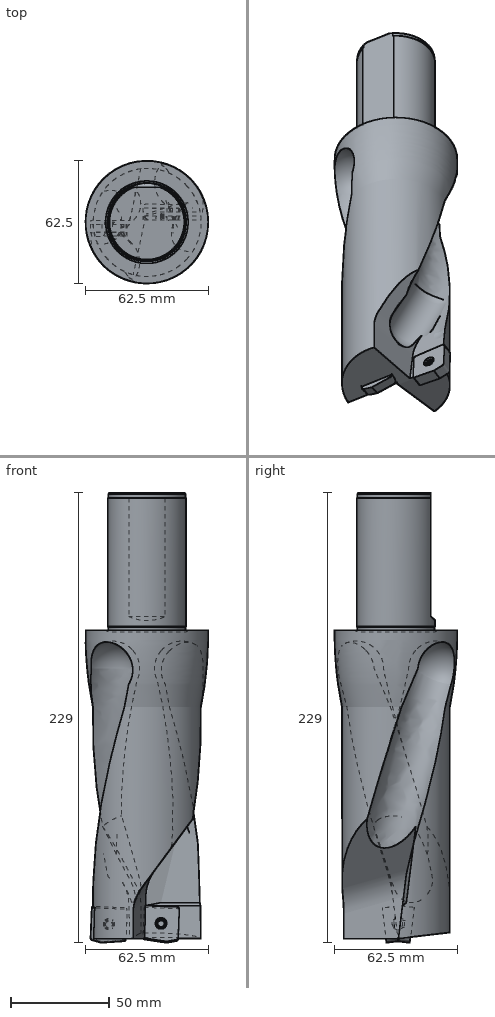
import cadquery as cq
import math

total_height = 228.98
shank_length = 70.0
flange_top = total_height - shank_length
flange_thickness = 5.0
flange_bottom = flange_top - flange_thickness
flare_bottom = 119.8
body_bottom = 2.0

shank_radius = 39.99 / 2
relief_radius = 39.5 / 2
shank_end_radius = 19.0
shank_chamfer_height = 1.0
top_band_height = 2.6
band_step = 0.4
neck_height = 1.6
face_groove_radius = 21.0
face_groove_depth = 0.8
flat_offset = 17.8
flat_bottom = flange_top + 5.0
flat_runout = 2.0

flange_radius = 62.5 / 2
body_radius = 27.5
flare_bulge = 0.8

flute_radius = 14.0
flute_center_radius = 27.0
flute_twist = 0.67
flute_start = 30.0
flute_end = 139.6
flute_start_angle = 155.5

seat_rake = 7.0
inner_seat_y = 1.0
outer_seat_y = -1.2
seat_top = 19.0
step_depth = 1.8
step_height = 1.8
facet_line_x = 7.2
facet_line_lean = 13.3
facet_tilt = 13.0
inner_wall_root = -1.4
outer_wall_root = 9.0
wall_turn = 12.0
inner_wall_knee = 29.6
outer_wall_knee = 24.7
inner_wall_slope = 0.74
outer_wall_slope = 0.48
wall_fillet = 20.0
reach = 60.0

pocket_radius = 11.0
pocket_low_point = (14.2, -9.5, 29.0)
pocket_high_point = (23.0, 0.0, 60.0)

clearance_angle = 6.7

insert_width = 18.0
insert_top = 8.7
insert_bottom = -7.8
insert_point_offset = 3.3
insert_point_drop = 1.34
insert_corner = 1.2
insert_thickness = 6.0
insert_tilt = 2.3
inner_insert_z = 10.0
outer_insert_z = 9.75
inner_insert_x = 7.2
outer_insert_x = 19.4
screw_hole_diameter = 3.5
screw_recess_diameter = 4.7
screw_mouth_diameter = 5.7
screw_mouth_depth = 1.0
screw_hole_depth = 2.0

origin = (0, 0, 0)
z_axis = (0, 0, 1)


def turned(shape, angle):
    """Turn a shape about the tool axis."""
    return shape.rotate(origin, z_axis, angle)


def tool_blank():
    """Shank, flange, flare and cylindrical body as one turned profile."""
    flare_middle = (
        (flange_radius + body_radius) / 2 + flare_bulge,
        (flange_bottom + flare_bottom) / 2,
    )
    band_bottom = total_height - top_band_height
    neck_top = flange_top + neck_height
    groove_floor = flange_top - face_groove_depth
    return (
        cq.Workplane("XZ")
        .moveTo(0, body_bottom)
        .lineTo(body_radius, body_bottom)
        .lineTo(body_radius, flare_bottom)
        .threePointArc(flare_middle, (flange_radius, flange_bottom))
        .lineTo(flange_radius, flange_top)
        .lineTo(face_groove_radius, flange_top)
        .lineTo(relief_radius, groove_floor)
        .lineTo(relief_radius, neck_top)
        .lineTo(shank_radius, neck_top + band_step)
        .lineTo(shank_radius, band_bottom - band_step)
        .lineTo(relief_radius, band_bottom)
        .lineTo(relief_radius, total_height - shank_chamfer_height)
        .lineTo(shank_end_radius, total_height)
        .lineTo(0, total_height)
        .close()
        .revolve(360, (0, 0, 0), (0, 1, 0))
    )


def shank_flat():
    """Clamping flat on the +Y side, running out in a slope above the flange."""
    flat_depth = shank_radius - flat_offset
    return (
        cq.Workplane("YZ")
        .moveTo(flat_offset, total_height)
        .lineTo(flat_offset, flat_bottom + flat_runout)
        .lineTo(flat_offset + flat_depth, flat_bottom)
        .lineTo(flat_offset + flat_depth, total_height)
        .close()
        .extrude(shank_radius, both=True)
    )


def helical_flute():
    """Twisted round channel with a ball at both ends, for the -X side."""
    length = flute_end - flute_start
    total_twist = length * flute_twist
    channel = (
        cq.Workplane("XY")
        .workplane(offset=flute_start)
        .moveTo(flute_center_radius, 0)
        .circle(flute_radius)
        .twistExtrude(length, total_twist)
    )
    ball = cq.Workplane("XY").sphere(flute_radius)
    low_ball = ball.translate((flute_center_radius, 0, flute_start))
    high_ball = turned(ball.translate((flute_center_radius, 0, flute_end)), total_twist)
    return [turned(piece, flute_start_angle) for piece in (channel, low_ball, high_ball)]


def lean_to_seat(shape, seat_y):
    """Lean a shape by the rake and set it on the seat plane that crosses the tip at seat_y."""
    return shape.rotate(origin, (1, 0, 0), -seat_rake).translate((0, seat_y, 0))


def chip_wall(wall_root, wall_knee, wall_slope, slant_turn):
    """Space beside an insert, bounded by an upright wall that bends into a slanted one."""
    slant_run = (2 * reach - wall_knee) * wall_slope
    slant_drop = reach * wall_slope
    upright = cq.Workplane("XY").box(2 * reach, 4 * reach, 4 * reach, centered=(False, True, True))
    slanted = (
        cq.Workplane("XZ")
        .moveTo(-slant_drop, wall_knee - reach)
        .lineTo(slant_run, 2 * reach)
        .lineTo(2 * reach, 2 * reach)
        .lineTo(2 * reach, wall_knee - reach)
        .close()
        .extrude(reach, both=True)
    )
    wall = turned(upright, -wall_turn).intersect(turned(slanted, -slant_turn))
    knee = cq.selectors.NearestToPointSelector((0, 0, wall_knee))
    return wall.edges(knee).fillet(wall_fillet).translate((wall_root, 0, 0))


def seat_space():
    """Space in front of an upright seat plane at y = 0."""
    block = cq.Workplane("XY").box(4 * reach, reach, 4 * reach, centered=(True, False, True))
    return block.translate((0, -reach, 0))


def inner_seat_step():
    """Deeper space above the inner insert, with a tilted facet on the side of the wall."""
    step_end = seat_top + step_height
    step = (
        cq.Workplane("YZ")
        .moveTo(-step_depth, seat_top)
        .lineTo(0, seat_top)
        .lineTo(step_depth, step_end)
        .lineTo(step_depth, 2 * reach)
        .lineTo(-step_depth, 2 * reach)
        .close()
        .extrude(2 * reach, both=True)
    )
    lean = math.radians(facet_line_lean)
    facet_frame = cq.Plane(
        origin=(facet_line_x, step_depth, step_end),
        xDir=(math.cos(lean), 0, -math.sin(lean)),
        normal=(math.sin(lean), 0, math.cos(lean)),
    )
    facet_rise = reach * math.tan(math.radians(facet_tilt))
    facet = (
        cq.Workplane(facet_frame)
        .lineTo(-reach, -facet_rise)
        .lineTo(-reach, step_depth)
        .lineTo(0, step_depth)
        .close()
        .extrude(2 * reach, both=True)
    )
    return step.cut(facet)


def inner_tip_cut():
    """Chip space in front of the inner insert."""
    wall = chip_wall(inner_wall_root, inner_wall_knee, inner_wall_slope, 0)
    seat = seat_space().union(inner_seat_step())
    return wall.intersect(lean_to_seat(seat, inner_seat_y))


def outer_tip_cut():
    """Chip space in front of the outer insert, before its half turn."""
    wall = chip_wall(outer_wall_root, outer_wall_knee, outer_wall_slope, wall_turn)
    return wall.intersect(lean_to_seat(seat_space(), outer_seat_y))


def outer_flute_pocket():
    """Round pocket with a ball at both ends, laid out like the tip cuts."""
    low = cq.Vector(*pocket_low_point)
    axis = cq.Vector(*pocket_high_point) - low
    rod = cq.Workplane(cq.Solid.makeCylinder(pocket_radius, axis.Length, low, axis))
    for end_point in (pocket_low_point, pocket_high_point):
        rod = rod.union(cq.Workplane("XY").sphere(pocket_radius).translate(end_point))
    return rod


def end_clearance():
    """Slope that lifts the end face toward +Y."""
    return (
        cq.Workplane("XY")
        .box(2 * reach, reach, reach, centered=(True, False, False))
        .translate((0, 0, -reach))
        .rotate(origin, (1, 0, 0), clearance_angle)
        .translate((0, 0, body_bottom))
    )


def insert_plate():
    """Square plate facing -Y, with a blunt point on its lower edge."""
    half_width = insert_width / 2
    return (
        cq.Workplane("XZ")
        .moveTo(-half_width, insert_top)
        .lineTo(half_width, insert_top)
        .lineTo(half_width, insert_bottom)
        .lineTo(insert_point_offset, insert_bottom - insert_point_drop)
        .lineTo(-half_width, insert_bottom)
        .close()
        .extrude(-insert_thickness)
        .edges("|Y and (>X or <X)")
        .fillet(insert_corner)
    )


def screw_recess():
    """Blind screw hole with a tapered mouth, in the front face of an insert."""
    hole = cq.Workplane("XZ").circle(screw_hole_diameter / 2).extrude(-screw_hole_depth)
    mouth = (
        cq.Workplane("XZ")
        .circle(screw_mouth_diameter / 2)
        .workplane(offset=-screw_mouth_depth)
        .circle(screw_recess_diameter / 2)
        .loft()
    )
    return hole.union(mouth)


def place_inner(shape):
    """Set a shape made like an insert into the inner seat."""
    shape = shape.rotate(origin, (0, 1, 0), insert_tilt)
    return lean_to_seat(shape.translate((inner_insert_x, 0, inner_insert_z)), inner_seat_y)


def place_outer(shape):
    """Set a shape made like an insert into the outer seat, on the opposite side."""
    shape = shape.rotate(origin, (0, 1, 0), -insert_tilt)
    return turned(lean_to_seat(shape.translate((outer_insert_x, 0, outer_insert_z)), outer_seat_y), 180)


drill_body = tool_blank().cut(shank_flat()).cut(end_clearance())
for side_angle in (0, 180):
    for flute_piece in helical_flute():
        drill_body = drill_body.cut(turned(flute_piece, side_angle))

drill_body = drill_body.cut(inner_tip_cut()).cut(turned(outer_tip_cut(), 180))
drill_body = drill_body.cut(turned(outer_flute_pocket(), 180))
drill_body = drill_body.cut(place_inner(insert_plate())).cut(place_outer(insert_plate()))

cutting_insert = insert_plate().cut(screw_recess())
inner_insert = place_inner(cutting_insert)
outer_insert = place_outer(cutting_insert)

result = cq.Compound.makeCompound([drill_body.val(), inner_insert.val(), outer_insert.val()])